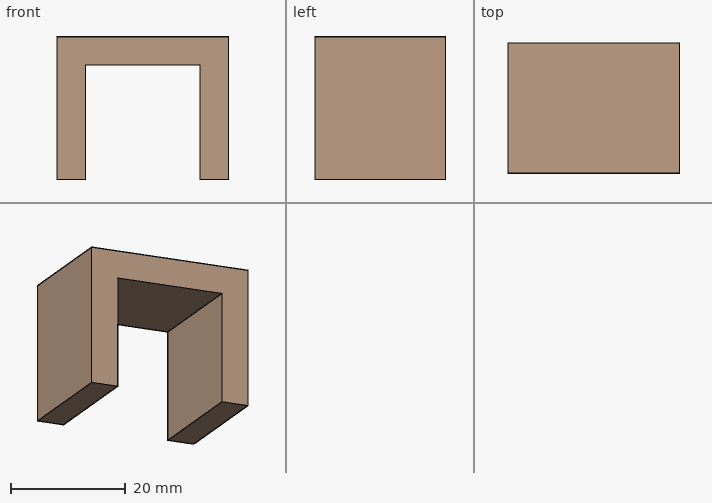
import cadquery as cq

length = 30.0
depth = 22.8
height = 25.0

wall = 5.0

body = cq.Workplane("XY").box(length, depth, height, centered=(True, True, False))

channel = cq.Workplane("XY").box(
    length - 2 * wall, depth, height - wall, centered=(True, True, False)
)

result = body.cut(channel)